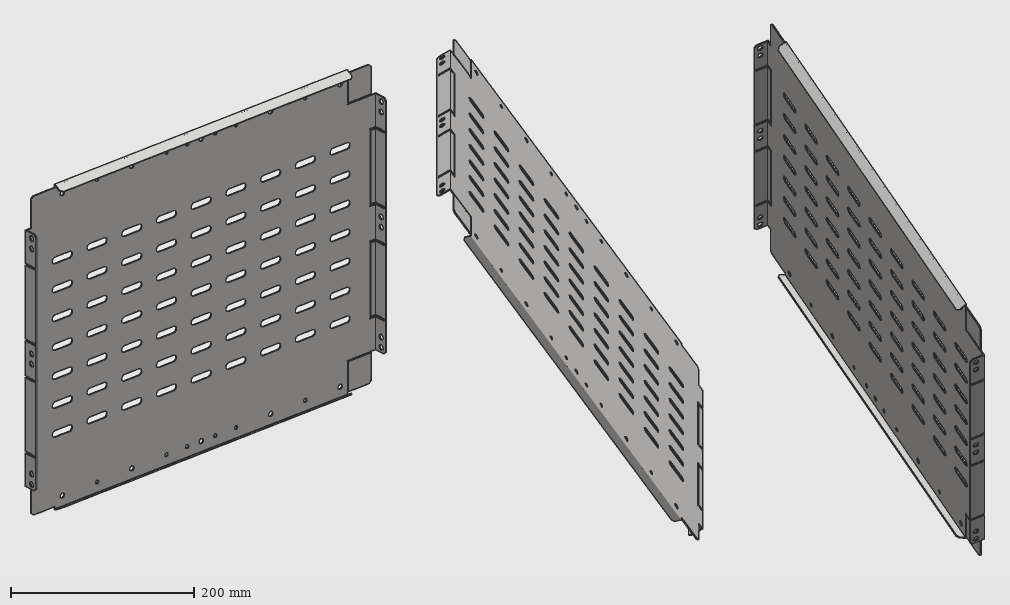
import cadquery as cq
import math

width = 505.5
height = 399.0
depth = 17.5
sheet = 1.5

tab_width = 490.0
tab_height = 390.0
corner_chamfer = 3.0

side_flange_height = 313.5

edge_flange_width = 421.5
edge_flange_depth = 11.5
edge_flange_angle = 120.0
edge_bend_radius = 1.0

slot_columns = 9
slot_rows = 7
slot_pitch_y = 50.0
slot_pitch_z = 35.5
slot_length = 29.0
slot_height = 8.0

edge_hole_z = 185.0
large_hole_diameter = 6.0
small_hole_diameter = 4.5
large_hole_spots = (0.0, 2 * slot_pitch_y, 4 * slot_pitch_y)
small_hole_spots = (20.0, slot_pitch_y, 3 * slot_pitch_y)

flange_hole_diameter = 6.5
flange_hole_x = 10.5
flange_hole_pitch = 12.5
flange_pair_heights = (-144.0, 3.0, 144.0)

knockout_low = 24.0
knockout_high = 113.5
knockout_slit = 2.5
knockout_edge = 244.5
joint = 2.0

narrow_cut = 1.5
tab_cut_y = edge_flange_width / 2
tab_cut_z = side_flange_height / 2
tab_top_joint = 2.0
tab_side_joint = 0.75


def box(x, y, z):
    """Box between the (low, high) limits given for each axis."""
    size = [high - low for low, high in (x, y, z)]
    return cq.Workplane("XY").box(*size, centered=False).translate((x[0], y[0], z[0]))


def centred_plate(size_y, size_z):
    """Flat sheet centred on the panel."""
    return box((0, sheet), (-size_y / 2, size_y / 2), (-size_z / 2, size_z / 2))


def with_mirror(shape, plane):
    """The shape together with its mirror image."""
    return shape.union(shape.mirror(plane))


def side_flange():
    """Square flange at the +Y end with its free corners cut off."""
    half_height = side_flange_height / 2
    flange = box((0, depth), (width / 2 - sheet, width / 2), (-half_height, half_height))
    return flange.edges("|Y and >X").chamfer(corner_chamfer)


def edge_flange():
    """Upper flange, rounded outside and sharp inside the bend, sloping back below its bend."""
    turn = math.radians(edge_flange_angle)
    run = (math.sin(turn), math.cos(turn))
    normal = (-math.cos(turn), math.sin(turn))
    half_normal = (-math.cos(turn / 2), math.sin(turn / 2))
    centre = (edge_bend_radius, height / 2 - edge_bend_radius)
    inner_offset = edge_bend_radius - sheet
    run_length = (edge_flange_depth - centre[0] - edge_bend_radius * normal[0]) / run[0]

    def bend_point(offset, direction, length=0.0):
        """Point at an offset from the bend centre, then a length along the flange."""
        return tuple(c + offset * d + length * r for c, d, r in zip(centre, direction, run))

    inner_corner = bend_point(inner_offset / math.cos(turn / 2), half_normal)
    flange = (
        cq.Workplane("XZ")
        .moveTo(0, inner_corner[1])
        .lineTo(0, centre[1])
        .threePointArc(bend_point(edge_bend_radius, half_normal), bend_point(edge_bend_radius, normal))
        .lineTo(*bend_point(edge_bend_radius, normal, run_length))
        .lineTo(*bend_point(inner_offset, normal, run_length))
        .lineTo(*inner_corner)
        .close()
        .extrude(edge_flange_width / 2, both=True)
    )
    tip_edges = cq.selectors.ParallelDirSelector(cq.Vector(normal[0], 0, normal[1]))
    return flange.edges(tip_edges).chamfer(corner_chamfer)


def vent_slots():
    """Grid of round-ended slots."""
    grid = cq.Workplane("YZ").rarray(slot_pitch_y, slot_pitch_z, slot_columns, slot_rows)
    return grid.slot2D(slot_length, slot_height).extrude(sheet)


def edge_holes(spots, diameter):
    """Holes at the given distances either side of the middle, along both long edges."""
    places = {(side * y, end * edge_hole_z) for y in spots for side in (1, -1) for end in (1, -1)}
    return cq.Workplane("YZ").pushPoints(sorted(places)).circle(diameter / 2).extrude(sheet)


def flange_holes():
    """Hole pairs through both side flanges."""
    half_pitch = flange_hole_pitch / 2
    places = [(flange_hole_x, z + step) for z in flange_pair_heights for step in (half_pitch, -half_pitch)]
    return cq.Workplane("XZ").pushPoints(places).circle(flange_hole_diameter / 2).extrude(width, both=True)


def knockout_cuts():
    """Cuts around the knock-out in the +Y, +Z quarter; joints keep it attached."""
    slot_y = (knockout_edge - narrow_cut, knockout_edge)
    slit_y = (knockout_edge + joint, width / 2)
    cuts = box((0, sheet), slot_y, (knockout_low - knockout_slit, knockout_high + knockout_slit))
    for low in (knockout_low - knockout_slit, knockout_high):
        cuts = cuts.union(box((0, depth - joint), slit_y, (low, low + knockout_slit)))
    return cuts


def corner_tab_cuts():
    """L-shaped cut that frames the upper +Y corner tab."""
    y_end = tab_width / 2 - tab_side_joint
    z_end = tab_height / 2 - tab_top_joint
    upright = box((0, sheet), (tab_cut_y, tab_cut_y + narrow_cut), (tab_cut_z, z_end))
    level = box((0, sheet), (tab_cut_y, y_end), (tab_cut_z, tab_cut_z + narrow_cut))
    return upright.union(level)


panel = centred_plate(tab_width, tab_height).edges("|X").chamfer(corner_chamfer)
panel = panel.union(centred_plate(width, side_flange_height))
panel = panel.union(centred_plate(edge_flange_width, height - 2 * edge_bend_radius))
panel = panel.union(with_mirror(side_flange(), "XZ"))
panel = panel.union(with_mirror(edge_flange(), "XY"))

panel = panel.cut(vent_slots())
panel = panel.cut(edge_holes(large_hole_spots, large_hole_diameter))
panel = panel.cut(edge_holes(small_hole_spots, small_hole_diameter))
panel = panel.cut(flange_holes())
panel = panel.cut(with_mirror(with_mirror(knockout_cuts(), "XZ"), "XY"))
panel = panel.cut(with_mirror(corner_tab_cuts(), "XY"))

result = panel